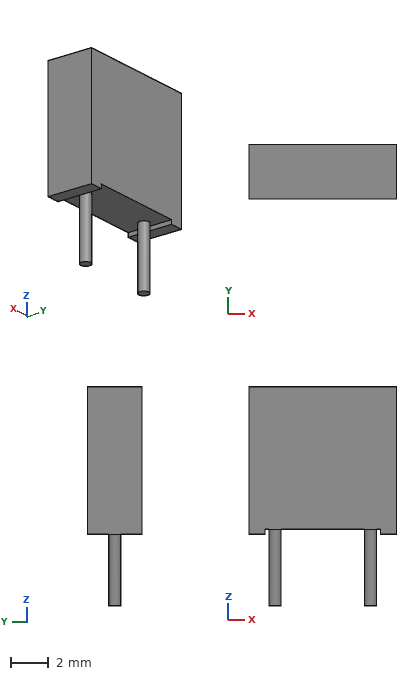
import cadquery as cq

housing_width = 7.87
housing_depth = 2.92
housing_height = 7.87
foot_width = 0.87
foot_height = 0.27

lead_diameter = 0.66
lead_pitch = 5.08
lead_drop = 3.80

lead_length = lead_drop + foot_height
lead_positions = [-lead_pitch / 2, lead_pitch / 2]


def make_housing():
    """Block resting on z = 0 with a full-depth relief between its feet."""
    block = cq.Workplane("XY").box(
        housing_width, housing_depth, housing_height, centered=(True, True, False)
    )
    relief = cq.Workplane("XY").box(
        housing_width - 2 * foot_width, housing_depth, foot_height, centered=(True, True, False)
    )
    return block.cut(relief)


def make_lead(x):
    """Round pin whose top end meets the underside between the feet."""
    return (
        cq.Workplane("XY", origin=(x, 0, -lead_drop))
        .circle(lead_diameter / 2)
        .extrude(lead_length)
    )


housing = make_housing()
leads = [make_lead(x) for x in lead_positions]

result = cq.Compound.makeCompound([housing.val(), *[lead.val() for lead in leads]])